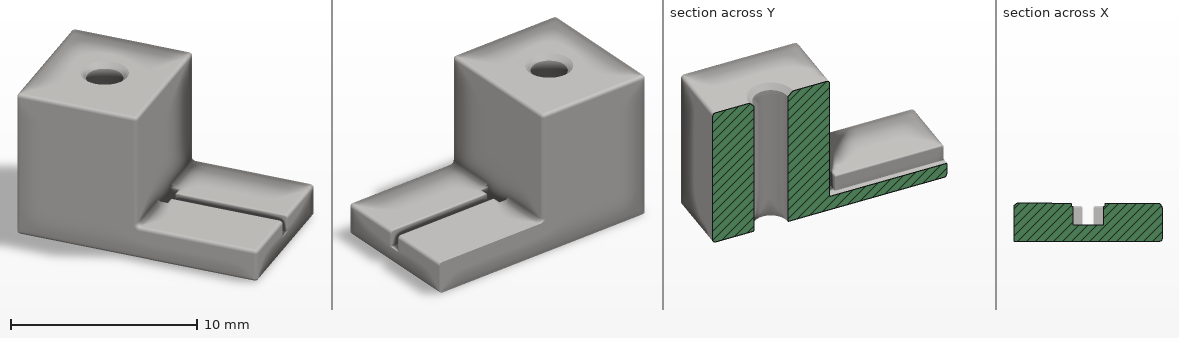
import cadquery as cq

length = 14.0
width = 8.0
height = 8.6
block_length = length / 2
plate_thickness = 1.9
edge_radius = 0.2

hole_diameter = 2.0
hole_chamfer = 0.3

slot_depth = 1.0
slot_width = 0.6
head_width = 1.6
head_end = 7.48
lip_radius = 0.1

hole_x = block_length / 2
mid_y = width / 2
slot_floor = plate_thickness - slot_depth
tolerance = 0.01


def edges_in(body, low, high):
    """Edges of the body whose centers lie within a box."""
    return body.edges(cq.selectors.BoxSelector(low, high))


def make_body():
    profile = [
        (0, 0),
        (length, 0),
        (length, plate_thickness),
        (block_length, plate_thickness),
        (block_length, height),
        (0, height),
    ]
    body = cq.Workplane("XZ").polyline(profile).close().extrude(-width)
    front = body.faces("<Y").edges()
    left = body.faces("<X").edges()
    top = body.faces(">Z").edges()
    right_end = body.faces(">X").edges("|Y")
    block_back_corner = edges_in(
        body,
        (block_length - tolerance, width - tolerance, plate_thickness + tolerance),
        (block_length + tolerance, width + tolerance, height - tolerance),
    )
    inner_corner = edges_in(
        body,
        (block_length - tolerance, 0, plate_thickness - tolerance),
        (block_length + tolerance, width, plate_thickness + tolerance),
    )
    rounded = front.add(left).add(top).add(right_end).add(block_back_corner).add(inner_corner)
    return rounded.fillet(edge_radius)


def slot_prism(growth, bottom, top):
    """T-shaped prism with every wall moved outward by growth."""
    prism_height = top - bottom
    base = cq.Workplane("XY", origin=(block_length, mid_y, bottom))
    along_x = (False, True, False)
    head = base.box(head_end - block_length + growth, head_width + 2 * growth, prism_height, centered=along_x)
    channel = base.box(length - block_length, slot_width + 2 * growth, prism_height, centered=along_x)
    return head.union(channel)


def make_slot_cutter():
    """Slot shape with a flared mouth that leaves a rounded lip on the plate."""
    slot = slot_prism(0, slot_floor, plate_thickness)
    plate = (
        cq.Workplane("XY", origin=(block_length, 0, 0))
        .box(length - block_length, width, plate_thickness, centered=False)
        .faces(">X")
        .edges("|Y")
        .fillet(edge_radius)
        .cut(slot)
    )
    lip_edges = edges_in(
        plate,
        (block_length + tolerance, mid_y - head_width, plate_thickness - tolerance),
        (length - tolerance, mid_y + head_width, plate_thickness + tolerance),
    )
    flared_slot = slot_prism(lip_radius, slot_floor, plate_thickness).cut(lip_edges.fillet(lip_radius))
    clearance = slot_prism(lip_radius, plate_thickness, plate_thickness + edge_radius)
    return flared_slot.union(clearance)


def cut_hole(body):
    return (
        body.faces(">Z")
        .workplane(origin=(hole_x, mid_y, height))
        .cskHole(hole_diameter, hole_diameter + 2 * hole_chamfer, 90)
    )


result = cut_hole(make_body().cut(make_slot_cutter()))